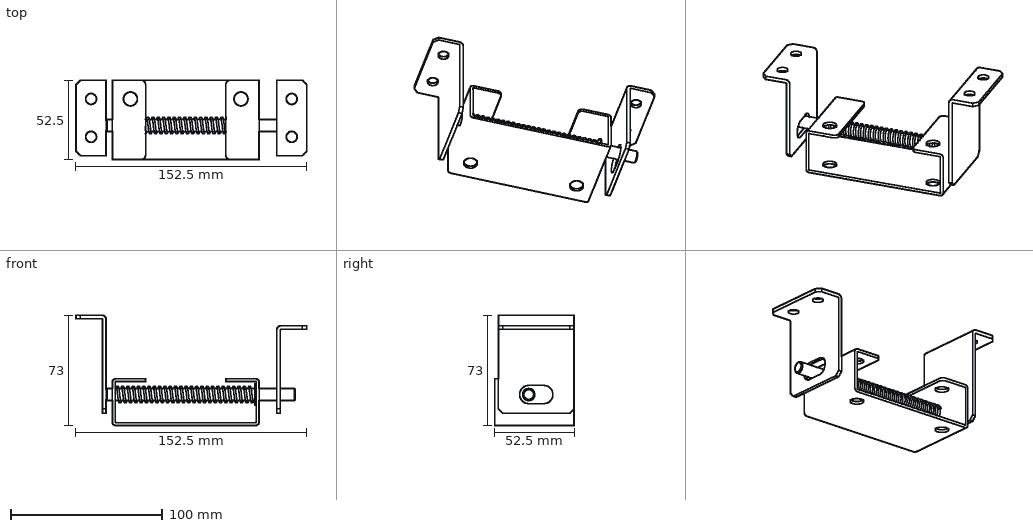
import cadquery as cq
import math


channel_length = 97.0
channel_depth = 52.5
channel_height = 31.0
channel_sheet = 2.0
channel_bend_radius = 0.3
lip_length = 22.0
lip_corner_radius = 3.0
lip_hole_diameter = 9.0
lip_hole_from_end = 12.0
lip_hole_from_back = 12.5

pin_diameter = 8.0
pin_length = 125.0
pin_chamfer = 0.75
pin_y = 22.5
pin_z = 20.5

washer_diameter = 14.0
washer_thickness = 0.75

wire_diameter = 1.4
spring_mean_radius = 4.8
spring_turns = 26
spring_start_angle = 67.0

bracket_depth = 50.0
bracket_sheet = 2.5
bracket_bend_radius = 0.5
bracket_chamfer = 3.0
bracket_bottom = 8.0
bracket_hole_diameter = 7.0
bracket_hole_spacing = 25.0
bracket_hole_from_end = 10.0
flange_length = 20.0
left_bracket_top = 73.0
left_bracket_gap = 4.0
right_bracket_top = 66.0
right_bracket_gap = 11.5

slot_width = 12.0
slot_length = 22.0

channel_inner_left = channel_sheet
channel_inner_right = channel_length - channel_sheet
washer_left = channel_inner_right - washer_thickness
left_bracket_face = -left_bracket_gap
right_bracket_face = channel_length + right_bracket_gap
bracket_back = channel_depth
bracket_mid_y = bracket_back - bracket_depth / 2


def rod(diameter, start_x, length):
    """Cylinder around the pin axis."""
    plane = cq.Plane(origin=(start_x, pin_y, pin_z), xDir=(0, 1, 0), normal=(1, 0, 0))
    return cq.Workplane(plane).circle(diameter / 2).extrude(length)


def block(x_range, y_range, z_range):
    """Box given by its limits along each axis."""
    sizes = [high - low for low, high in (x_range, y_range, z_range)]
    corner = (x_range[0], y_range[0], z_range[0])
    return cq.Workplane("XY").box(*sizes, centered=False).translate(corner)


def vertical_holes(diameter, points, top, depth):
    """Cutters that go down from the given height."""
    return cq.Workplane("XY", origin=(0, 0, top)).pushPoints(points).circle(diameter / 2).extrude(-depth)


def make_channel():
    outer_radius = channel_bend_radius + channel_sheet
    outer = block((0, channel_length), (0, channel_depth), (0, channel_height))
    outer = outer.edges("|Y").fillet(outer_radius)
    inner = block(
        (channel_inner_left, channel_inner_right),
        (0, channel_depth),
        (channel_sheet, channel_height - channel_sheet),
    )
    inner = inner.edges("|Y").fillet(channel_bend_radius)
    body = outer.cut(inner)

    opening = block(
        (lip_length, channel_length - lip_length),
        (0, channel_depth),
        (channel_height - channel_sheet, channel_height),
    )
    body = body.cut(opening)
    for lip_end in (lip_length, channel_length - lip_length):
        for edge_y in (0, channel_depth):
            corner = (lip_end, edge_y, channel_height - channel_sheet / 2)
            body = body.edges(cq.NearestToPointSelector(corner)).fillet(lip_corner_radius)

    hole_y = channel_depth - lip_hole_from_back
    hole_points = [(x, hole_y) for x in (lip_hole_from_end, channel_length - lip_hole_from_end)]
    body = body.cut(vertical_holes(lip_hole_diameter, hole_points, channel_height, channel_height))
    return body.cut(rod(pin_diameter, 0, channel_length))


def make_bracket(wall_face, direction, top):
    """L bracket: wall_face faces the channel, the flange points away from it (direction -1 or 1)."""
    outer_radius = bracket_bend_radius + bracket_sheet
    wall_back = wall_face + direction * bracket_sheet
    flange_end = wall_face + direction * flange_length
    underside = top - bracket_sheet
    body = (
        cq.Workplane("XZ", origin=(0, bracket_back, 0))
        .moveTo(wall_face, bracket_bottom)
        .lineTo(wall_face, top)
        .lineTo(flange_end, top)
        .lineTo(flange_end, underside)
        .lineTo(wall_back, underside)
        .lineTo(wall_back, bracket_bottom)
        .close()
        .extrude(bracket_depth)
    )
    body = body.edges(cq.NearestToPointSelector((wall_face, bracket_mid_y, top))).fillet(outer_radius)
    inner_bend = cq.NearestToPointSelector((wall_back, bracket_mid_y, underside))
    body = body.edges(inner_bend).fillet(bracket_bend_radius)
    flange_corners = "<X" if direction < 0 else ">X"
    body = body.faces(flange_corners).edges("|Z").chamfer(bracket_chamfer)
    body = body.faces("<Z").edges("|X").chamfer(bracket_chamfer)

    hole_x = flange_end - direction * bracket_hole_from_end
    hole_points = [(hole_x, bracket_mid_y + side * bracket_hole_spacing / 2) for side in (-1, 1)]
    return body.cut(vertical_holes(bracket_hole_diameter, hole_points, top, bracket_sheet))


def make_right_bracket():
    body = make_bracket(right_bracket_face, 1, right_bracket_top)
    slot_plane = cq.Plane(
        origin=(right_bracket_face, bracket_mid_y, pin_z), xDir=(0, 1, 0), normal=(1, 0, 0)
    )
    slot = cq.Workplane(slot_plane).slot2D(slot_length, slot_width).extrude(bracket_sheet)
    return body.cut(slot)


def make_pin():
    return rod(pin_diameter, left_bracket_face, pin_length).edges("%CIRCLE").chamfer(pin_chamfer)


def make_washer():
    washer = rod(washer_diameter, washer_left, washer_thickness)
    return washer.cut(rod(pin_diameter, washer_left, washer_thickness))


def make_spring():
    """Right-handed helical spring, built along Z and then laid along the pin."""
    wire_radius = wire_diameter / 2
    start_x = channel_inner_left + wire_radius
    travel = washer_left - wire_radius - start_x
    pitch = travel / spring_turns
    path = cq.Workplane(obj=cq.Wire.makeHelix(pitch, travel, spring_mean_radius))
    climb = pitch / (2 * math.pi * spring_mean_radius)
    section_plane = cq.Plane(origin=(spring_mean_radius, 0, 0), xDir=(1, 0, 0), normal=(0, 1, climb))
    spring = cq.Workplane(section_plane).circle(wire_radius).sweep(path, isFrenet=True)
    spring = spring.rotate((0, 0, 0), (0, 0, 1), 180 - spring_start_angle)
    spring = spring.rotate((0, 0, 0), (0, 1, 0), 90)
    return spring.translate((start_x, pin_y, pin_z))


channel = make_channel()
left_bracket = make_bracket(left_bracket_face, -1, left_bracket_top)
right_bracket = make_right_bracket()
pin = make_pin()
washer = make_washer()
spring = make_spring()

result = cq.Compound.makeCompound(
    [
        channel.val(),
        left_bracket.val(),
        right_bracket.val(),
        pin.val(),
        washer.val(),
        spring.val(),
    ]
)